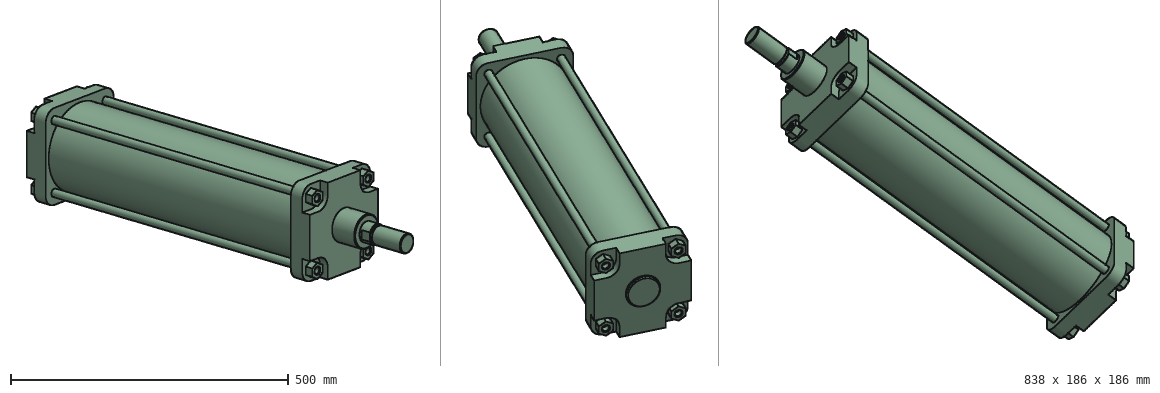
import cadquery as cq
import math

total_length = 838.0
stub_length = 6.0
cap_thickness = 46.0
cap_length_overall = 680.5
rear_face = stub_length
front_face = rear_face + cap_length_overall
barrel_start = rear_face + cap_thickness
barrel_end = front_face - cap_thickness

cap_width = 186.0
tie_rod_spacing = 139.0
tie_rod_offset = tie_rod_spacing / 2
cap_corner_radius = cap_width / 2 - tie_rod_offset
pocket_depth = 18.5
pocket_radius = 25.0
boss_diameter = 65.0
boss_length = 54.5
boss_chamfer = 2.0
stub_chamfer = 2.5

barrel_diameter = 170.0

tie_rod_diameter = 16.0
head_across_flats = 28.0
head_sides = 6
head_height = 16.0
socket_diameter = 12.5
socket_depth = 13.0
socket_chamfer = 2.0

rod_diameter = 40.0
flats_start = 745.0
flats_end = 764.0
flat_width = 36.0
groove_length = 4.0
groove_diameter = 34.0
thread_diameter = 38.0
thread_start = flats_end + groove_length
thread_chamfer = 2.0

corner_signs = [(-1, -1), (-1, 1), (1, -1), (1, 1)]
tie_rod_centres = [(sy * tie_rod_offset, sz * tie_rod_offset) for sy, sz in corner_signs]


def cross_section(x):
    """Workplane at x looking along +X, with local x along Z and local y along -Y."""
    return cq.Workplane(cq.Plane(origin=(x, 0, 0), xDir=(0, 0, 1), normal=(1, 0, 0)))


def cylinder(x_start, x_end, diameter, y=0.0, z=0.0):
    """Cylinder along X, centred on (y, z)."""
    return cross_section(x_start).center(z, -y).circle(diameter / 2).extrude(x_end - x_start)


def corner_pocket(x_start, sign_y, sign_z):
    """Recess that is open to both sides at a cap corner, rounded around the tie rod."""
    reach = cap_width / 2 - tie_rod_offset + pocket_radius
    middle = cap_width / 2 - reach / 2
    block = (
        cq.Workplane("XY")
        .box(pocket_depth, reach, reach)
        .translate((x_start + pocket_depth / 2, sign_y * middle, sign_z * middle))
    )
    inner_y = "<Y" if sign_y > 0 else ">Y"
    inner_z = "<Z" if sign_z > 0 else ">Z"
    return block.faces(inner_y).edges(inner_z).fillet(pocket_radius)


def make_cap(x_start, pocket_start):
    """Square end cap with rounded corners, corner pockets and tie rod holes."""
    cap = cross_section(x_start).rect(cap_width, cap_width).extrude(cap_thickness)
    cap = cap.edges("|X").fillet(cap_corner_radius)
    for sign_y, sign_z in corner_signs:
        cap = cap.cut(corner_pocket(pocket_start, sign_y, sign_z))
    for y, z in tie_rod_centres:
        cap = cap.cut(cylinder(x_start, x_start + cap_thickness, tie_rod_diameter, y, z))
    return cap


def make_rear_cap():
    """Rear cap with a short round stub on its outer face."""
    stub = cylinder(0, rear_face, boss_diameter).faces("<X").chamfer(stub_chamfer)
    return make_cap(rear_face, rear_face).union(stub)


def make_front_cap():
    """Front cap with a long round boss, bored for the piston rod."""
    boss_end = front_face + boss_length
    boss = cylinder(front_face, boss_end, boss_diameter).faces(">X").chamfer(boss_chamfer)
    cap = make_cap(barrel_end, front_face - pocket_depth).union(boss)
    return cap.cut(cylinder(barrel_end, boss_end, rod_diameter))


def make_barrel():
    """Plain round barrel clamped between the caps."""
    return cylinder(barrel_start, barrel_end, barrel_diameter)


def make_head(x_start, y, z):
    """Hexagonal tie rod head with corners pointing along Z."""
    across_corners = head_across_flats / math.cos(math.pi / head_sides)
    return cross_section(x_start).center(z, -y).polygon(head_sides, across_corners).extrude(head_height)


def make_socket(open_x, direction, y, z):
    """Round recess with a chamfered rim, going into a head from open_x."""
    radius = socket_diameter / 2
    profile = [
        (0, 0),
        (0, radius + socket_chamfer),
        (direction * socket_chamfer, radius),
        (direction * socket_depth, radius),
        (direction * socket_depth, 0),
    ]
    socket = cq.Workplane("XZ").polyline(profile).close().revolve(360, (0, 0, 0), (1, 0, 0))
    return socket.translate((open_x, y, z))


def make_tie_rod(y, z):
    """Tie rod through both caps, with a socketed hexagonal head in each pocket."""
    rear_seat = rear_face + pocket_depth
    front_seat = front_face - pocket_depth
    rod = cylinder(rear_seat, front_seat, tie_rod_diameter, y, z)
    rod = rod.union(make_head(rear_seat - head_height, y, z))
    rod = rod.union(make_head(front_seat, y, z))
    rod = rod.cut(make_socket(rear_seat - head_height, 1, y, z))
    return rod.cut(make_socket(front_seat + head_height, -1, y, z))


def make_piston_rod():
    """Piston rod with two wrench flats, a relief groove and a plain thread blank."""
    rod = cylinder(barrel_end, flats_end, rod_diameter)
    flats_length = flats_end - flats_start
    cut_depth = (rod_diameter - flat_width) / 2
    cut_x = (flats_start + flats_end) / 2
    for side in (-1, 1):
        cut_y = side * (flat_width + cut_depth) / 2
        flat_cut = cq.Workplane("XY").box(flats_length, cut_depth, rod_diameter)
        rod = rod.cut(flat_cut.translate((cut_x, cut_y, 0)))
    groove = cylinder(flats_end, thread_start, groove_diameter)
    thread = cylinder(thread_start, total_length, thread_diameter)
    thread = thread.faces("<X or >X").chamfer(thread_chamfer)
    return rod.union(groove).union(thread)


rear_cap = make_rear_cap()
front_cap = make_front_cap()
barrel = make_barrel()
piston_rod = make_piston_rod()
tie_rods = [make_tie_rod(y, z) for y, z in tie_rod_centres]

result = cq.Compound.makeCompound(
    [rear_cap.val(), front_cap.val(), barrel.val(), piston_rod.val()]
    + [tie_rod.val() for tie_rod in tie_rods]
)